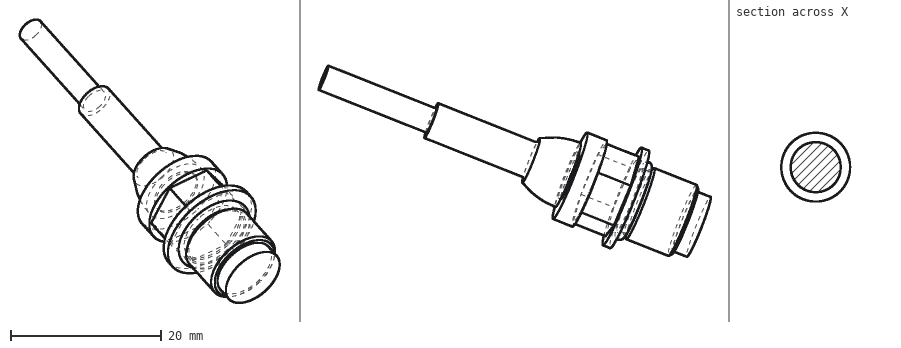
import cadquery as cq
import math

total_length = 53.95

cable_diameter = 3.5
sleeve_start = 15.5
sleeve_diameter = 5.0

flare_start = 29.4
flare_diameter = 5.8

dome_start = 29.85
dome_end = 35.15
dome_small_diameter = 6.4
dome_large_diameter = 9.2

neck_diameter = 6.7

collar_start = 35.45
collar_length = 2.8
collar_diameter = 12.4
hexagon_start = collar_start + collar_length
hexagon_length = 4.7
hexagon_across_flats = 10.2
hexagon_across_corners = hexagon_across_flats / math.cos(math.pi / 6)
flange_start = hexagon_start + hexagon_length
flange_length = 1.05
flange_diameter = 14.0
flange_end = flange_start + flange_length

ring_section_diameter = 1.15
ring_outer_diameter = 11.1
ring_section_radius = ring_section_diameter / 2
ring_mean_radius = ring_outer_diameter / 2 - ring_section_radius
groove_floor_radius = ring_mean_radius - ring_section_radius
groove_width = 1.1
groove_end = flange_end + groove_width

barrel_diameter = 10.2
barrel_end = 51.95
barrel_groove_chamfer = 0.45
barrel_end_chamfer = 0.35
mating_diameter = 8.6


def cylinder(diameter, x_start, x_end):
    """Round section along X."""
    return cq.Workplane("YZ").workplane(offset=x_start).circle(diameter / 2).extrude(x_end - x_start)


def make_flare():
    """Concave round that widens the sleeve where it meets the dome."""
    sleeve_radius = sleeve_diameter / 2
    flare_radius = flare_diameter / 2
    flare_length = dome_start - flare_start
    flare_height = flare_radius - sleeve_radius
    mid_x = flare_start + flare_length * math.sin(math.pi / 4)
    mid_radius = sleeve_radius + flare_height * (1 - math.cos(math.pi / 4))
    return (
        cq.Workplane("XY")
        .moveTo(flare_start, 0)
        .lineTo(flare_start, sleeve_radius)
        .threePointArc((mid_x, mid_radius), (dome_start, flare_radius))
        .lineTo(dome_start, 0)
        .close()
        .revolve(360, (0, 0, 0), (1, 0, 0))
    )


def make_dome():
    """Convex dome whose arc ends parallel to the axis at its large end."""
    small_radius = dome_small_diameter / 2
    large_radius = dome_large_diameter / 2
    length = dome_end - dome_start
    rise = large_radius - small_radius
    arc_radius = (length**2 + rise**2) / (2 * rise)
    half_angle = math.asin(length / arc_radius) / 2
    mid_x = dome_end - arc_radius * math.sin(half_angle)
    mid_radius = large_radius - arc_radius * (1 - math.cos(half_angle))
    return (
        cq.Workplane("XY")
        .moveTo(dome_start, 0)
        .lineTo(dome_start, small_radius)
        .threePointArc((mid_x, mid_radius), (dome_end, large_radius))
        .lineTo(dome_end, 0)
        .close()
        .revolve(360, (0, 0, 0), (1, 0, 0))
    )


def make_hexagon():
    """Wrench hexagon with corners on +Y and -Y, flats on +Z and -Z."""
    return (
        cq.Workplane("YZ")
        .workplane(offset=hexagon_start)
        .polygon(6, hexagon_across_corners)
        .extrude(hexagon_length)
    )


def make_connector():
    """Moulded connector with its cable, in one piece."""
    barrel = (
        cylinder(barrel_diameter, groove_end, barrel_end)
        .edges("<X")
        .chamfer(barrel_groove_chamfer)
        .edges(">X")
        .chamfer(barrel_end_chamfer)
    )
    return (
        cylinder(cable_diameter, 0, sleeve_start)
        .union(cylinder(sleeve_diameter, sleeve_start, flare_start))
        .union(make_flare())
        .union(make_dome())
        .union(cylinder(neck_diameter, dome_end, collar_start))
        .union(cylinder(collar_diameter, collar_start, hexagon_start))
        .union(make_hexagon())
        .union(cylinder(flange_diameter, flange_start, flange_end))
        .union(cylinder(2 * groove_floor_radius, flange_end, groove_end))
        .union(barrel)
        .union(cylinder(mating_diameter, barrel_end, total_length))
        .solids()
    )


def make_o_ring():
    """Round-section seal seated in the groove behind the flange."""
    ring_center_x = flange_end + ring_section_radius
    return (
        cq.Workplane("XY")
        .center(ring_center_x, ring_mean_radius)
        .circle(ring_section_radius)
        .revolve(360, (0, -ring_mean_radius, 0), (1, -ring_mean_radius, 0))
    )


connector = make_connector()
o_ring = make_o_ring()

result = cq.Compound.makeCompound([connector.val(), o_ring.val()])